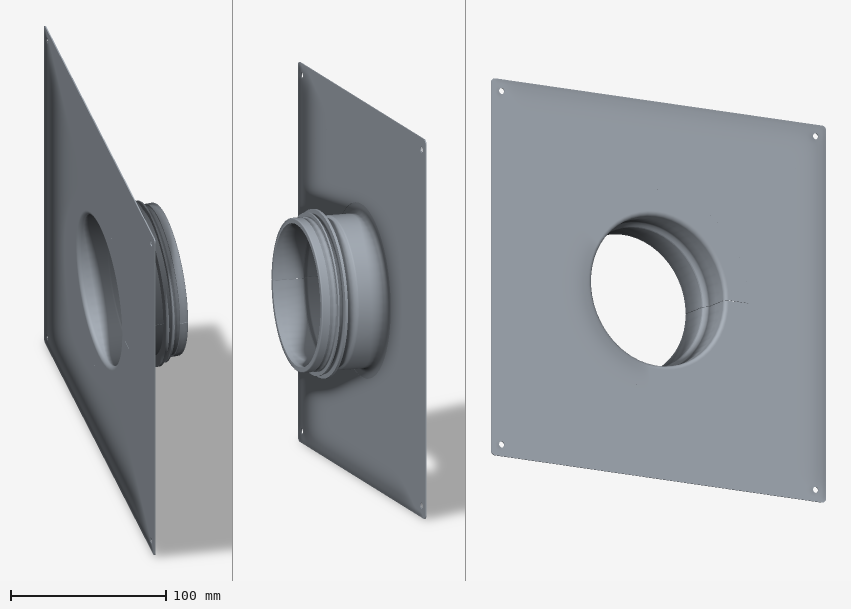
import cadquery as cq

plate_side = 250.0
plate_thickness = 0.8
plate_corner_radius = 3.0
plate_bore_diameter = 114.0
screw_hole_diameter = 4.0
screw_hole_inset = 7.8

sheet_thickness = 0.5
sleeve_length = 45.0
flange_diameter = 134.0
body_diameter = 100.0
neck_diameter = 94.2
flange_bend_radius = 2.8
cone_start = 20.5
cone_end = 24.0
cone_bend_radius = 1.5
hem_length = 5.5
hem_round = 0.8
seam_gap = 0.2

gasket_start = 29.0
gasket_base_diameter = 98.0
large_lip_diameter = 109.5
large_lip_thickness = 1.8
small_lip_diameter = 105.8
small_lip_start = 34.0
small_lip_thickness = 1.0
lip_root_diameter = body_diameter
lip_root_thickness = 2.0
lip_root_taper = 1.5

body_radius = body_diameter / 2
body_inner_radius = body_radius - sheet_thickness
neck_radius = neck_diameter / 2
neck_inner_radius = neck_radius - sheet_thickness
hem_start = sleeve_length - hem_length
outer_bend_end = sheet_thickness + flange_bend_radius


def make_plate():
    """Plate with a bore, a front recess for the sleeve flange and four corner holes."""
    hole_spacing = plate_side - 2 * screw_hole_inset
    plate = (
        cq.Workplane("XZ")
        .rect(plate_side, plate_side)
        .extrude(-plate_thickness)
        .edges("|Y")
        .fillet(plate_corner_radius)
    )
    bore = (
        cq.Workplane("XZ")
        .circle(plate_bore_diameter / 2)
        .extrude(-plate_thickness)
    )
    screw_holes = (
        cq.Workplane("XZ")
        .rect(hole_spacing, hole_spacing, forConstruction=True)
        .vertices()
        .circle(screw_hole_diameter / 2)
        .extrude(-plate_thickness)
    )
    flange_recess = (
        cq.Workplane("XZ")
        .circle(flange_diameter / 2)
        .extrude(-sheet_thickness)
    )
    return plate.cut(bore).cut(flange_recess).cut(screw_holes)


def make_sleeve():
    """Flanged sleeve with a conical step to the neck and a hem at the free end."""
    profile = (
        cq.Workplane("XY")
        .moveTo(flange_diameter / 2, 0)
        .lineTo(flange_diameter / 2, sheet_thickness)
        .lineTo(body_radius + flange_bend_radius, sheet_thickness)
        .radiusArc((body_radius, outer_bend_end), flange_bend_radius)
        .lineTo(body_radius, cone_start)
        .lineTo(neck_radius, cone_end)
        .lineTo(neck_radius, hem_start)
        .lineTo(body_radius, hem_start)
        .lineTo(body_radius, sleeve_length - hem_round)
        .radiusArc((body_radius - hem_round, sleeve_length), -hem_round)
        .lineTo(neck_inner_radius, sleeve_length)
        .lineTo(neck_inner_radius, cone_end)
        .lineTo(body_inner_radius, cone_start)
        .lineTo(body_inner_radius, flange_bend_radius)
        .radiusArc((body_inner_radius + flange_bend_radius, 0), -flange_bend_radius)
        .close()
    )
    sleeve = profile.revolve(360, (0, 0, 0), (0, 1, 0))
    cone_edges = sleeve.edges(
        cq.selectors.BoxSelector(
            (-body_radius, cone_start - cone_bend_radius, -body_radius),
            (body_radius, cone_end + cone_bend_radius, body_radius),
        )
    ).edges("%CIRCLE")
    sleeve = cone_edges.fillet(cone_bend_radius)
    seam = cq.Workplane("XY").box(
        flange_diameter, sleeve_length, seam_gap, centered=(False, False, True)
    )
    return sleeve.cut(seam)


def make_ring(outer_diameter, start, thickness):
    """Flat ring that fits around the neck."""
    return (
        cq.Workplane("XZ", origin=(0, start, 0))
        .circle(outer_diameter / 2)
        .circle(neck_radius)
        .extrude(-thickness)
    )


def make_lip_root():
    """Ridge behind the small lip, tapering down to the base band."""
    base_radius = gasket_base_diameter / 2
    root_radius = lip_root_diameter / 2
    straight_end = small_lip_start + lip_root_thickness
    profile = (
        cq.Workplane("XY")
        .moveTo(neck_radius, small_lip_start)
        .lineTo(root_radius, small_lip_start)
        .lineTo(root_radius, straight_end)
        .lineTo(base_radius, straight_end + lip_root_taper)
        .lineTo(neck_radius, straight_end + lip_root_taper)
        .close()
    )
    return profile.revolve(360, (0, 0, 0), (0, 1, 0))


def make_gasket():
    """Base band with a large lip, and a small lip backed by a tapered root."""
    base = make_ring(gasket_base_diameter, gasket_start, hem_start - gasket_start)
    large_lip = make_ring(large_lip_diameter, gasket_start, large_lip_thickness)
    small_lip = make_ring(small_lip_diameter, small_lip_start, small_lip_thickness)
    return base.union(large_lip).union(small_lip).union(make_lip_root())


plate = make_plate()
sleeve = make_sleeve()
gasket = make_gasket()

result = cq.Compound.makeCompound([plate.val(), sleeve.val(), gasket.val()])